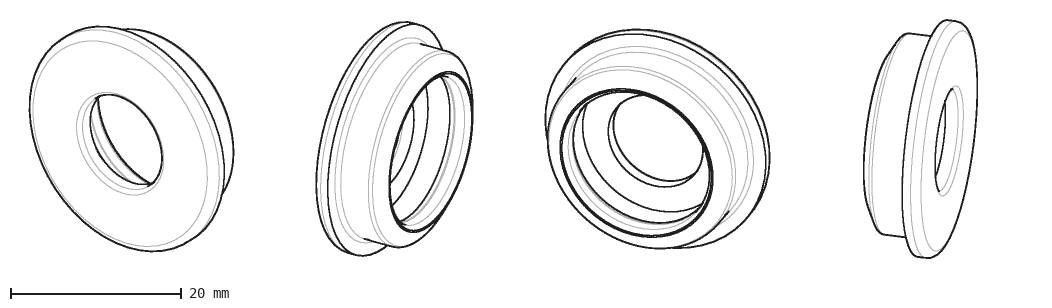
import cadquery as cq
import math

LENGTH = 7.8

FLANGE_RADIUS = 14.0
FLANGE_THICKNESS = 2.0
FLANGE_ROUND = 1.0

HUB_RADIUS = 11.9
HUB_ROOT_FILLET = 0.5
HUB_SHOULDER_ROUND = 0.5
RIM_RADIUS = 9.7
HUB_CONE_ANGLE = 30.0

BORE_RADIUS = 6.0
BORE_ROUND = 0.5

SEAT_RADIUS = 9.25
BEAD_CREST_RADIUS = 9.0
BEAD_CREST_Y = 5.64
BEAD_ROUND = 1.0
BEAD_RELIEF_LENGTH = 0.14
BEAD_RELIEF_ANGLE = 6.0
MOUTH_ROUND = 0.8
MOUTH_START_Y = 7.07

EDGE_TOLERANCE = 1e-3

hub_cone_start_y = LENGTH - (HUB_RADIUS - RIM_RADIUS) * math.tan(math.radians(HUB_CONE_ANGLE))
throat_start_y = BEAD_CREST_Y + BEAD_RELIEF_LENGTH
throat_radius = BEAD_CREST_RADIUS + BEAD_RELIEF_LENGTH * math.tan(math.radians(BEAD_RELIEF_ANGLE))


def point_on_round(crest_radius, crest_y, section_radius, angle):
    """(y, radius) on an inward bulging round, at an angle in radians from its crest towards +Y."""
    y = crest_y + section_radius * math.sin(angle)
    radius = crest_radius + section_radius * (1 - math.cos(angle))
    return y, radius


def bead_point(angle):
    return point_on_round(BEAD_CREST_RADIUS, BEAD_CREST_Y, BEAD_ROUND, angle)


def mouth_point(angle):
    return point_on_round(throat_radius, MOUTH_START_Y, MOUTH_ROUND, angle)


def ring_profile():
    """Half section as (y, radius) points, with the flange, hub and bore corners left sharp."""
    mouth_angle = math.asin((LENGTH - MOUTH_START_Y) / MOUTH_ROUND)
    seat_angle = math.acos(1 - (SEAT_RADIUS - BEAD_CREST_RADIUS) / BEAD_ROUND)
    return (
        cq.Workplane("YZ")
        .moveTo(0, BORE_RADIUS)
        .lineTo(0, FLANGE_RADIUS)
        .lineTo(FLANGE_THICKNESS, FLANGE_RADIUS)
        .lineTo(FLANGE_THICKNESS, HUB_RADIUS)
        .lineTo(hub_cone_start_y, HUB_RADIUS)
        .lineTo(LENGTH, RIM_RADIUS)
        .lineTo(*mouth_point(mouth_angle))
        .threePointArc(mouth_point(mouth_angle / 2), mouth_point(0))
        .lineTo(throat_start_y, throat_radius)
        .lineTo(*bead_point(0))
        .threePointArc(bead_point(-seat_angle / 2), bead_point(-seat_angle))
        .lineTo(FLANGE_THICKNESS, SEAT_RADIUS)
        .lineTo(FLANGE_THICKNESS, BORE_RADIUS)
        .close()
    )


def fillet_circle(body, radius, y, fillet):
    """Round the circular edge of the given radius that lies in the plane at height y."""
    circles = [
        edge
        for edge in body.edges("%CIRCLE").vals()
        if abs(edge.radius() - radius) < EDGE_TOLERANCE and abs(edge.Center().y - y) < EDGE_TOLERANCE
    ]
    return body.newObject(circles).fillet(fillet)


ring = ring_profile().revolve(360, (0, 0, 0), (1, 0, 0))
ring = fillet_circle(ring, FLANGE_RADIUS, 0, FLANGE_ROUND)
ring = fillet_circle(ring, BORE_RADIUS, 0, BORE_ROUND)
ring = fillet_circle(ring, HUB_RADIUS, FLANGE_THICKNESS, HUB_ROOT_FILLET)
ring = fillet_circle(ring, HUB_RADIUS, hub_cone_start_y, HUB_SHOULDER_ROUND)

result = ring.solids()